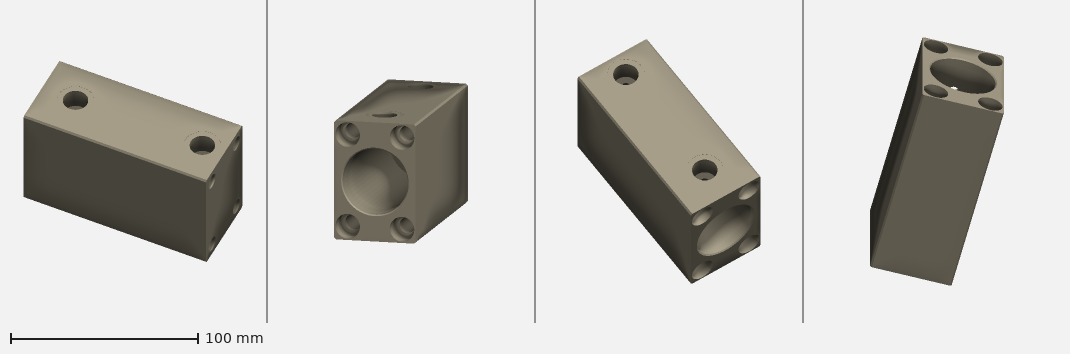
import cadquery as cq

length = 108.0
width = 45.0
height = 65.0
edge_chamfer = 1.0

bore_diameter = 36.1
bore_depth = 98.0
bore_mouth_chamfer = 0.6

boss_diameter = 25.0
boss_height = 1.5

mount_spacing_y = 30.0
mount_spacing_z = 50.0
mount_hole_diameter = 8.5
mount_head_diameter = 13.5
mount_head_depth = 10.8

port_positions_x = (20.0, 95.0)
port_seat_diameter = 20.0
port_seat_depth = 0.1
port_thread_diameter = 13.6
port_thread_depth = 12.0
port_passage_diameter = 5.5
port_floor_z = 10.3

top_z = height / 2


def rod_along_x(diameter, start_x, end_x, y=0, z=0):
    """Solid cylinder along X between two stations."""
    return (
        cq.Workplane("YZ", origin=(start_x, y, z))
        .circle(diameter / 2)
        .extrude(end_x - start_x)
    )


def make_block():
    """Solid block with its long edges chamfered."""
    block = cq.Workplane("XY").box(length, width, height, centered=(False, True, True))
    return block.edges("|X").chamfer(edge_chamfer)


def make_bore():
    """Volume removed for the bore, leaving the boss on its floor."""
    bore = rod_along_x(bore_diameter, 0, bore_depth)
    mouth_radius = bore_diameter / 2 + bore_mouth_chamfer
    mouth = cq.Workplane(
        cq.Solid.makeCone(
            mouth_radius,
            bore_diameter / 2,
            bore_mouth_chamfer,
            pnt=cq.Vector(0, 0, 0),
            dir=cq.Vector(1, 0, 0),
        )
    )
    boss = rod_along_x(boss_diameter, bore_depth - boss_height, bore_depth)
    return bore.union(mouth).cut(boss)


def make_mount_hole(y, z):
    """Through hole counterbored from the -X face."""
    shank = rod_along_x(mount_hole_diameter, 0, length, y, z)
    head = rod_along_x(mount_head_diameter, 0, mount_head_depth, y, z)
    return shank.union(head)


def make_port(x):
    """Seat, thread and passage of one port, all starting at the top face."""
    steps = (
        (port_seat_diameter, port_seat_depth),
        (port_thread_diameter, port_thread_depth),
        (port_passage_diameter, top_z - port_floor_z),
    )
    port = cq.Workplane("XY")
    for diameter, depth in steps:
        step = cq.Workplane("XY", origin=(x, 0, top_z)).circle(diameter / 2).extrude(-depth)
        port = port.union(step)
    return port


result = make_block().cut(make_bore())

for side_y in (-1, 1):
    for side_z in (-1, 1):
        mount_hole = make_mount_hole(side_y * mount_spacing_y / 2, side_z * mount_spacing_z / 2)
        result = result.cut(mount_hole)

for port_x in port_positions_x:
    result = result.cut(make_port(port_x))